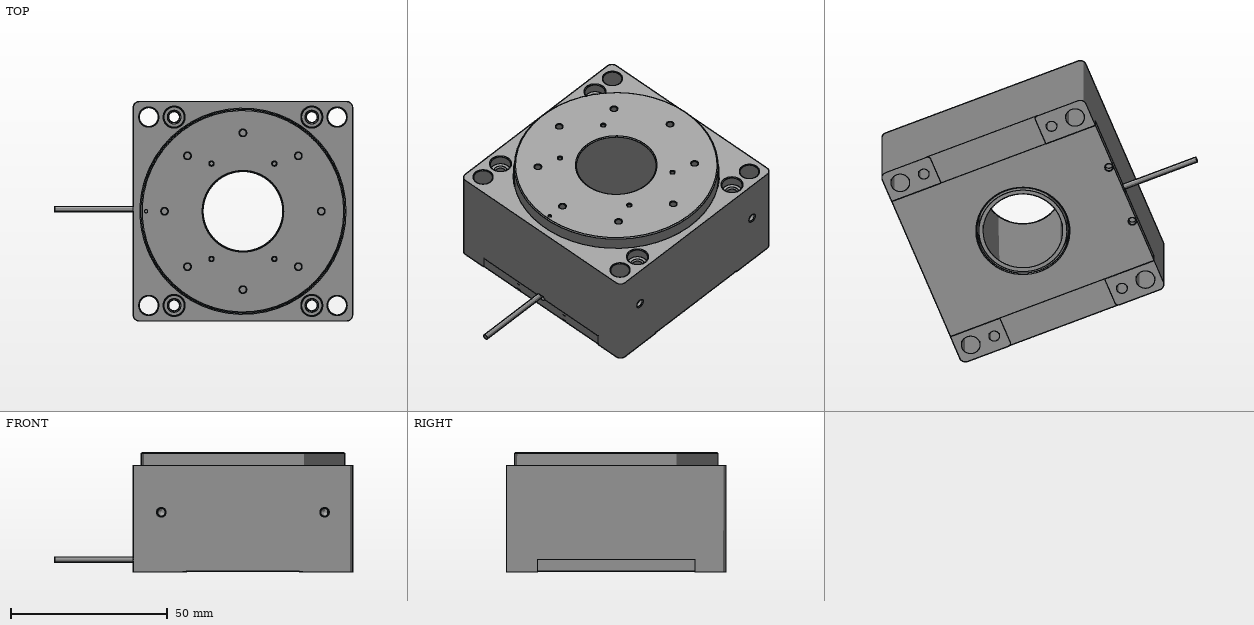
import cadquery as cq
import math

side = 70.0
housing_height = 34.0
corner_radius = 2.0
total_height = 38.2

corner_hole_pitch = 60.0
corner_hole_dia = 6.0
corner_hole_rim_dia = 6.5
screw_pitch_x = 43.9
screw_pitch_y = corner_hole_pitch
screw_hole_dia = 3.4
screw_hole_rim_dia = 4.4
counterbore_dia = 6.5
counterbore_rim_dia = 7.0
counterbore_depth = 3.3

side_hole_pitch = 52.1
side_hole_z = 19.1
side_hole_dia = 2.5
side_hole_rim_dia = 3.0
side_hole_depth = 5.0
drill_tip_angle = 118.0

foot_height = 0.3
relief_width = 36.0
foot_corner_radius = 1.0
slot_width = 50.1
slot_height = 4.0

cover_hole_pitch = 19.95
cover_hole_dia = 2.4
cover_hole_rim_dia = 2.7
cover_hole_inset = 1.4
cover_hole_top_z = 2.5

table_dia = 65.0
table_edge_chamfer = 0.4
table_recess_dia = 65.7
table_recess_depth = 2.0
hub_dia = 28.0
table_bore_dia = 25.4
table_bore_rim_dia = 26.0
hub_clearance_dia = 29.4
hub_clearance_rim_dia = 30.0

ring_hole_count = 8
ring_radius = 25.0
ring_hole_dia = 2.1
ring_hole_rim_dia = 2.5
table_hole_depth = 4.0
small_pitch_x = 20.0
small_pitch_y = 30.4
small_hole_dia = 1.2
small_hole_rim_dia = 1.7
index_radius = 30.9
index_dia = 1.0
index_depth = 0.5

cable_dia = 1.7
cable_length = 25.0
cable_offset_y = 0.7
cable_hole_depth = 5.0

half_side = side / 2
table_seat_z = housing_height - table_recess_depth


def rectangle_corners(pitch_x, pitch_y):
    """Four corner points of a centred rectangle."""
    return [(sx * pitch_x / 2, sy * pitch_y / 2) for sx in (-1, 1) for sy in (-1, 1)]


def cylinder(dia, z_bottom, z_top):
    """Upright cylinder on the Z axis."""
    return cq.Workplane("XY").workplane(offset=z_bottom).circle(dia / 2).extrude(z_top - z_bottom)


def rim_cone(dia, rim_dia, z_face):
    """45 degree countersink, as wide as rim_dia at z_face and narrowing downwards."""
    depth = (rim_dia - dia) / 2
    cone = cq.Solid.makeCone(dia / 2, rim_dia / 2, depth, pnt=cq.Vector(0, 0, z_face - depth))
    return cq.Workplane(cone)


def chamfered_hole(dia, rim_dia, z_bottom, z_top):
    """Cutter for an upright hole with a chamfered upper rim."""
    return cylinder(dia, z_bottom, z_top).union(rim_cone(dia, rim_dia, z_top))


def cut_at(body, cutter, points):
    """Cut a copy of the cutter from the body at every (x, y) point."""
    for x, y in points:
        body = body.cut(cutter.translate((x, y, 0)))
    return body


def screw_cutter():
    """Counterbored through hole with chamfers on both rims."""
    floor_z = housing_height - counterbore_depth
    bore = chamfered_hole(counterbore_dia, counterbore_rim_dia, floor_z, housing_height)
    return bore.union(chamfered_hole(screw_hole_dia, screw_hole_rim_dia, 0, floor_z))


def side_hole_cutter():
    """Drilled hole with a chamfered rim and a conical end, running into the -Y side."""
    radius = side_hole_dia / 2
    rim_radius = side_hole_rim_dia / 2
    rim_depth = rim_radius - radius
    tip = radius / math.tan(math.radians(drill_tip_angle / 2))
    profile = [
        (0, 0),
        (rim_radius, 0),
        (radius, rim_depth),
        (radius, side_hole_depth),
        (0, side_hole_depth + tip),
    ]
    hole = cq.Workplane("XY").polyline(profile).close().revolve(360, (0, 0, 0), (0, 1, 0))
    return hole.translate((0, -half_side, side_hole_z))


def underside_hole(dia, rim_dia, z_top):
    """Cutter for an upright hole, chamfered where it opens onto the underside relief."""
    rim = cq.Solid.makeCone(rim_dia / 2, dia / 2, (rim_dia - dia) / 2, pnt=cq.Vector(0, 0, foot_height))
    return cylinder(dia, 0, z_top).union(cq.Workplane(rim))


def hub_clearance():
    """Cutter for the bore around the hub."""
    return underside_hole(hub_clearance_dia, hub_clearance_rim_dia, table_seat_z)


def cable_rod(y, x_start, x_end):
    """Round rod along X, centred on the top face of the base cover."""
    plane = cq.Workplane("YZ", origin=(x_start, y, slot_height))
    return plane.circle(cable_dia / 2).extrude(x_end - x_start)


def cable_holes():
    """Two overlapping cable holes side by side in the -X side."""
    inner_end = cable_hole_depth - half_side
    left = cable_rod(cable_offset_y, -half_side, inner_end)
    return left.union(cable_rod(-cable_offset_y, -half_side, inner_end))


def make_housing():
    body = cq.Workplane("XY").box(side, side, housing_height, centered=(True, True, False))
    body = body.edges("|Z").fillet(corner_radius)

    body = body.cut(cq.Workplane("XY").box(relief_width, side, foot_height, centered=(True, True, False)))
    foot_corners = cq.selectors.BoxSelector(
        (-relief_width / 2 - foot_corner_radius, -side, -foot_height),
        (relief_width / 2 + foot_corner_radius, side, foot_height),
    )
    body = body.edges("|Z").edges(foot_corners).fillet(foot_corner_radius)
    body = body.cut(cq.Workplane("XY").box(side, slot_width, slot_height, centered=(True, True, False)))

    body = body.cut(cylinder(table_recess_dia, table_seat_z, housing_height))
    body = body.cut(hub_clearance())

    corner_hole = chamfered_hole(corner_hole_dia, corner_hole_rim_dia, 0, housing_height)
    body = cut_at(body, corner_hole, rectangle_corners(corner_hole_pitch, corner_hole_pitch))
    body = cut_at(body, screw_cutter(), rectangle_corners(screw_pitch_x, screw_pitch_y))
    body = cut_at(body, side_hole_cutter(), [(-side_hole_pitch / 2, 0), (side_hole_pitch / 2, 0)])
    return body.cut(cable_holes())


def make_cover():
    cover = cq.Workplane("XY").workplane(offset=foot_height)
    cover = cover.rect(side, slot_width).extrude(slot_height - foot_height)
    hole_x = cover_hole_inset - half_side
    hole = underside_hole(cover_hole_dia, cover_hole_rim_dia, cover_hole_top_z)
    cover = cut_at(cover, hole, [(hole_x, -cover_hole_pitch / 2), (hole_x, cover_hole_pitch / 2)])
    return cover.cut(hub_clearance()).cut(cable_holes())


def make_turntable():
    table = cylinder(table_dia, table_seat_z, total_height).faces(">Z").edges().chamfer(table_edge_chamfer)
    table = table.union(cylinder(hub_dia, foot_height, table_seat_z))
    table = table.cut(chamfered_hole(table_bore_dia, table_bore_rim_dia, foot_height, total_height))

    floor_z = total_height - table_hole_depth
    ring_angles = [2 * math.pi * i / ring_hole_count for i in range(ring_hole_count)]
    ring_points = [(ring_radius * math.cos(a), ring_radius * math.sin(a)) for a in ring_angles]
    table = cut_at(table, chamfered_hole(ring_hole_dia, ring_hole_rim_dia, floor_z, total_height), ring_points)
    small_hole = chamfered_hole(small_hole_dia, small_hole_rim_dia, floor_z, total_height)
    table = cut_at(table, small_hole, rectangle_corners(small_pitch_x, small_pitch_y))
    return cut_at(table, cylinder(index_dia, total_height - index_depth, total_height), [(-index_radius, 0)])


def make_cable():
    return cable_rod(cable_offset_y, -half_side - cable_length, cable_hole_depth - half_side)


housing = make_housing()
cover = make_cover()
turntable = make_turntable()
cable = make_cable()

bodies = [housing, cover, turntable, cable]
result = cq.Compound.makeCompound([body.solids().val() for body in bodies])